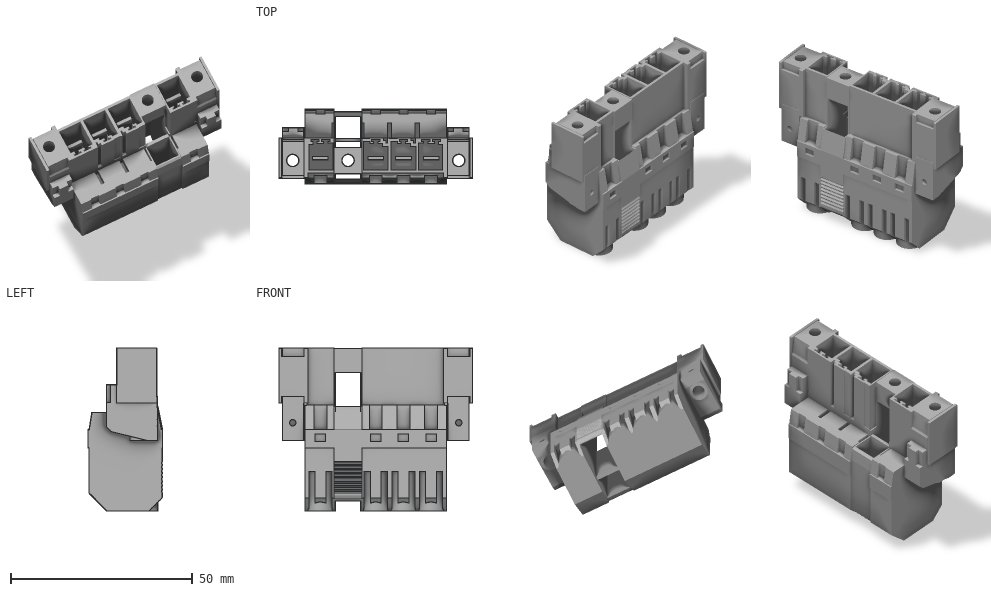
import cadquery as cq
TOTAL_WIDTH = 53.35
TOTAL_HEIGHT = 45.05
PITCH = 7.65
CELL_CENTRES = [-2 * PITCH, 0.0, PITCH, 2 * PITCH]
SCREW_MODULE_X = -PITCH
SCREW_HOLE_DIAMETER = 3.3

CARRIER_HALF_WIDTH = 19.0
CARRIER_FRONT = -3.4
CARRIER_BACK = 6.25
CAVITY_FRONT = -2.65
CAVITY_FLOOR = 29.9

KEY_NECK_WIDTH = 1.25
KEY_HEAD_WIDTH = 2.3
KEY_HEAD_FRONT = 5.2
KEY_HEAD_BACK = 5.7
END_KEY_OFFSET = 1.5
END_CELL_STEPS = [(-3.2, -1.5, 4.45), (-1.5, 1.5, 4.65), (1.5, 3.4, 4.8)]
INNER_CELL_STEPS = [(-3.4, -1.65, 5.2), (-1.65, 1.9, 4.65), (1.9, 3.4, 3.9)]
REAR_RELIEFS = [(-3.8, -1.75, 6.1), (2.1, 3.3, 5.5), (2.8, 3.3, 4.8)]

PLUG_HALF_WIDTH = 19.5
PLUG_FRONT = -6.25
PLUG_BACK = 13.85
BAND_FRONT = -6.45
BAND_BACK = 14.15
BAND_BOTTOM = 17.45
BAND_TOP = 22.5
PLUG_FRONT_TOP = 29.25
TAPER_FRONT_FOOT = -6.1
TAPER_FRONT_EDGE = -4.85
TAPER_BACK_FOOT = 13.8
TAPER_BACK_EDGE = 13.05
PLUG_BACK_TOP = 27.25
FRONT_CHAMFER = 3.6
BACK_CHAMFER = 4.95

FRONT_RECESS_WIDTH = 3.6
FRONT_RECESS_FLOOR = -4.1
BACK_RECESS_WIDTH = 2.5
BACK_RECESS_FLOOR = 12.8
WINDOW_WIDTH = 2.95
WINDOW_BOTTOM = 19.25
WINDOW_TOP = 21.35
WINDOW_DEPTH = 0.8
SHELF_GROOVE_WIDTH = 1.1
SHELF_GROOVE_BACK = 10.35
SHELF_GROOVE_DEPTH = 2.65

ENTRY_RADIUS = 3.8
ENTRY_FRONT = -5.2
ENTRY_HEIGHT = 11.0
ENTRY_SLOT_INNER = 1.5
ENTRY_SLOT_OUTER = 3.2

MODULE_WIDTH = PITCH
MODULE_BOTTOM = 2.8
MODULE_TOP = 28.9
MODULE_SLOT_WIDTH = 6.95
MODULE_SLOT_FRONT = -5.2
MODULE_SLOT_BACK = 12.1
MODULE_PANEL_BACK = 13.5
MODULE_PANEL_TAPER_START = 22.95
MODULE_PANEL_TOP = 26.95
MODULE_PANEL_TOP_BACK = 12.5
MODULE_PANEL_BEVEL = 0.4
MODULE_RIB_FRONT = 5.2
MODULE_RIB_BACK = 6.1
SCREW_BLOCK_TOP = 44.85
SCREW_BLOCK_BOTTOM = 38.2
SCREW_BLOCK_FRONT = -3.7
SCREW_BLOCK_BACK = 3.6

GRIP_COUNT = 8
GRIP_PITCH = 1.1
GRIP_TOP_GROOVE = 13.3
GRIP_GROOVE_DEPTH = 0.45
GRIP_EDGE_RADIUS = 1.05

SLEEVE_INNER_X = 18.6
SLEEVE_FRONT = -4.9
SLEEVE_BOTTOM = 29.8
SLEEVE_EDGE_CHAMFER = 0.15
POCKET_INNER_X = 19.85
POCKET_OUTER_X = 25.95
POCKET_FRONT = -4.1
TOP_NOTCH_BOTTOM = 42.7
FOOT_TOP = 31.6

FLANGE_HOLE_X = 22.9
FLANGE_OUTER_X = 25.75
FLANGE_TOP_BACK = 5.2
FLANGE_BEVEL_EDGE = 5.8
FLANGE_BEVEL_TOP = 39.7
FLANGE_BEVEL_BOTTOM = 39.05
FOOT_FRONT = -5.0
FOOT_BACK = 9.05
FOOT_BOTTOM = 19.4
FOOT_BACK_TOP = 34.9
FOOT_RAMP_START = (-2.45, FOOT_BOTTOM)
FOOT_RAMP_END = (7.7, 21.95)
FOOT_HEEL = 23.25
FLANGE_BOSS_RADIUS = 2.5
FLANGE_BOSS_TOP = 24.0
CORNER_WIDTH = 1.65
CORNER_DEPTH = 1.1
CORNER_BOTTOM = 29.95
SIDE_HOLE_DIAMETER = 1.75
SIDE_HOLE_Z = 24.4
SIDE_HOLE_DEPTH = 1.6

BLADE_WIDTH = 4.3
BLADE_FRONT = 0.15
BLADE_BACK = 1.05
BLADE_HEIGHT = 9.6
BLADE_CHAMFER = 0.15

MODULE_LEFT = SCREW_MODULE_X - MODULE_WIDTH / 2
MODULE_RIGHT = SCREW_MODULE_X + MODULE_WIDTH / 2
SLOT_LEFT = SCREW_MODULE_X - MODULE_SLOT_WIDTH / 2
SLOT_RIGHT = SCREW_MODULE_X + MODULE_SLOT_WIDTH / 2
CLEARANCE = 0.55


def block(x0, x1, y0, y1, z0, z1):
    """Axis-aligned box between two opposite corners."""
    return cq.Workplane("XY").box(x1 - x0, y1 - y0, z1 - z0, centered=False).translate((x0, y0, z0))


def side_prism(points, x0, x1):
    """Prism along X from an outline of (y, z) points."""
    return cq.Workplane("YZ").polyline(points).close().extrude(x1 - x0).translate((x0, 0, 0))


def upright_cylinder(x, y, radius, z0, z1):
    return cq.Workplane("XY").circle(radius).extrude(z1 - z0).translate((x, y, z0))


def plug_block():
    """Full-width lower part with chamfered bottom edges, a raised band and tapered upper edges."""
    outline = [
        (PLUG_FRONT + FRONT_CHAMFER, 0),
        (PLUG_BACK - BACK_CHAMFER, 0),
        (PLUG_BACK, BACK_CHAMFER),
        (PLUG_BACK, BAND_BOTTOM),
        (BAND_BACK, BAND_BOTTOM),
        (BAND_BACK, BAND_TOP),
        (TAPER_BACK_FOOT, BAND_TOP),
        (TAPER_BACK_EDGE, PLUG_BACK_TOP),
        (CARRIER_BACK, PLUG_BACK_TOP),
        (CARRIER_BACK, PLUG_FRONT_TOP),
        (TAPER_FRONT_EDGE, PLUG_FRONT_TOP),
        (TAPER_FRONT_FOOT, BAND_TOP),
        (BAND_FRONT, BAND_TOP),
        (BAND_FRONT, BAND_BOTTOM),
        (PLUG_FRONT, BAND_BOTTOM),
        (PLUG_FRONT, FRONT_CHAMFER),
    ]
    return side_prism(outline, -PLUG_HALF_WIDTH, PLUG_HALF_WIDTH)


def add_wire_entry(plug, x):
    """Round entry that shows below the front chamfer and through two slots in the front wall."""
    entry = upright_cylinder(x, ENTRY_FRONT + ENTRY_RADIUS, ENTRY_RADIUS, 0, ENTRY_HEIGHT)
    for inner, outer in [(-ENTRY_SLOT_OUTER, -ENTRY_SLOT_INNER), (ENTRY_SLOT_INNER, ENTRY_SLOT_OUTER)]:
        slot = block(x + inner, x + outer, BAND_FRONT, ENTRY_FRONT + ENTRY_RADIUS, 0, ENTRY_HEIGHT)
        plug = plug.cut(slot.cut(entry))
    return plug.union(entry)


def cut_plug_recesses(plug, x):
    """Front and back recesses in the tapered edges, and a small window in the band."""
    half = FRONT_RECESS_WIDTH / 2
    plug = plug.cut(block(x - half, x + half, BAND_FRONT, FRONT_RECESS_FLOOR, BAND_TOP, PLUG_FRONT_TOP))
    half = BACK_RECESS_WIDTH / 2
    plug = plug.cut(block(x - half, x + half, BACK_RECESS_FLOOR, BAND_BACK, BAND_TOP, PLUG_BACK_TOP))
    half = WINDOW_WIDTH / 2
    window_back = BAND_FRONT + WINDOW_DEPTH
    return plug.cut(block(x - half, x + half, BAND_FRONT, window_back, WINDOW_BOTTOM, WINDOW_TOP))


def cut_shelf_grooves(plug):
    """Grooves in the rear shelf at each division between cells; those beside the module are half wide."""
    half = SHELF_GROOVE_WIDTH / 2
    spans = [
        (MODULE_LEFT - half, MODULE_LEFT),
        (MODULE_RIGHT, MODULE_RIGHT + half),
        (0.5 * PITCH - half, 0.5 * PITCH + half),
        (1.5 * PITCH - half, 1.5 * PITCH + half),
    ]
    floor = PLUG_BACK_TOP - SHELF_GROOVE_DEPTH
    for x0, x1 in spans:
        plug = plug.cut(block(x0, x1, CARRIER_BACK, SHELF_GROOVE_BACK, floor, PLUG_BACK_TOP))
    return plug


def module_shell():
    """Lower half of the screw module: front grip panel, back panel and side walls."""
    front_chamfer_z = PLUG_FRONT + FRONT_CHAMFER - BAND_FRONT
    outline = [
        (BAND_FRONT + front_chamfer_z - MODULE_BOTTOM, MODULE_BOTTOM),
        (BAND_FRONT, front_chamfer_z),
        (BAND_FRONT, BAND_TOP),
        (MODULE_SLOT_FRONT, MODULE_TOP),
        (MODULE_RIB_BACK, MODULE_TOP),
        (MODULE_RIB_BACK, MODULE_PANEL_TOP),
        (MODULE_PANEL_TOP_BACK, MODULE_PANEL_TOP),
        (TAPER_BACK_EDGE, MODULE_PANEL_TOP - MODULE_PANEL_BEVEL),
        (MODULE_PANEL_BACK, MODULE_PANEL_TAPER_START),
        (MODULE_PANEL_BACK, BACK_CHAMFER),
        (PLUG_BACK - BACK_CHAMFER + MODULE_BOTTOM, MODULE_BOTTOM),
    ]
    shell = side_prism(outline, MODULE_LEFT, MODULE_RIGHT)
    grip_edge = cq.selectors.NearestToPointSelector((SCREW_MODULE_X, BAND_FRONT, front_chamfer_z))
    shell = shell.edges(grip_edge).fillet(GRIP_EDGE_RADIUS)
    for index in range(GRIP_COUNT):
        z = GRIP_TOP_GROOVE - index * GRIP_PITCH
        groove = [
            (BAND_FRONT, z - GRIP_GROOVE_DEPTH),
            (BAND_FRONT + GRIP_GROOVE_DEPTH, z),
            (BAND_FRONT, z + GRIP_GROOVE_DEPTH),
        ]
        shell = shell.cut(side_prism(groove, MODULE_LEFT, MODULE_RIGHT))
    return shell


def right_sleeve():
    """Solid end block around a flange insert, before its pocket is cut."""
    sleeve = block(
        SLEEVE_INNER_X, TOTAL_WIDTH / 2, SLEEVE_FRONT, CARRIER_BACK, SLEEVE_BOTTOM, TOTAL_HEIGHT
    )
    return sleeve.faces("<Y").edges(">Z").chamfer(SLEEVE_EDGE_CHAMFER)


def carrier_block():
    """Upper block with the end sleeves; the screw block replaces it between the first two cells."""
    carrier = block(
        -CARRIER_HALF_WIDTH, CARRIER_HALF_WIDTH, CARRIER_FRONT, CARRIER_BACK, MODULE_TOP, TOTAL_HEIGHT
    )
    carrier = carrier.cut(
        block(MODULE_LEFT, MODULE_RIGHT, CARRIER_FRONT, CARRIER_BACK, MODULE_TOP, TOTAL_HEIGHT)
    )
    carrier = carrier.union(
        block(MODULE_LEFT, MODULE_RIGHT, SCREW_BLOCK_FRONT, SCREW_BLOCK_BACK, MODULE_TOP, SCREW_BLOCK_TOP)
    )
    sleeve = right_sleeve()
    pocket = sleeve_pocket()
    carrier = carrier.union(sleeve).union(sleeve.mirror("YZ"))
    return carrier.cut(pocket).cut(pocket.mirror("YZ"))


def sleeve_pocket():
    """Pocket open at the top, bottom and back, with an upper and a lower notch in its front wall."""
    pocket = block(
        POCKET_INNER_X, POCKET_OUTER_X, POCKET_FRONT, CARRIER_BACK, SLEEVE_BOTTOM, TOTAL_HEIGHT
    )
    for z0, z1 in [(SLEEVE_BOTTOM, FOOT_TOP), (TOP_NOTCH_BOTTOM, TOTAL_HEIGHT)]:
        pocket = pocket.union(block(POCKET_INNER_X, POCKET_OUTER_X, SLEEVE_FRONT, POCKET_FRONT, z0, z1))
    return pocket


def cavity(steps, key_centres):
    """Contact cavity centred on X = 0: a stepped back wall with T-shaped keyways."""
    neck_front = (CAVITY_FRONT + KEY_HEAD_FRONT) / 2
    hollow = None
    for left, right, back in steps:
        part = block(left, right, CAVITY_FRONT, back, CAVITY_FLOOR, TOTAL_HEIGHT)
        hollow = part if hollow is None else hollow.union(part)
    for x in key_centres:
        for width, y0, y1 in [
            (KEY_NECK_WIDTH, neck_front, KEY_HEAD_FRONT),
            (KEY_HEAD_WIDTH, KEY_HEAD_FRONT, KEY_HEAD_BACK),
        ]:
            hollow = hollow.union(block(x - width / 2, x + width / 2, y0, y1, CAVITY_FLOOR, TOTAL_HEIGHT))
    return hollow


def cut_cavities(carrier):
    """The two end cells mirror each other; the two inner cells are alike, with reliefs behind them."""
    end_cavity = cavity(END_CELL_STEPS, [-END_KEY_OFFSET, END_KEY_OFFSET])
    inner_cavity = cavity(INNER_CELL_STEPS, [0.0])
    carrier = carrier.cut(end_cavity.translate((CELL_CENTRES[0], 0, 0)))
    carrier = carrier.cut(end_cavity.mirror("YZ").translate((CELL_CENTRES[-1], 0, 0)))
    for x in CELL_CENTRES[1:-1]:
        carrier = carrier.cut(inner_cavity.translate((x, 0, 0)))
        for left, right, front in REAR_RELIEFS:
            carrier = carrier.cut(
                block(x + left, x + right, front, CARRIER_BACK, PLUG_FRONT_TOP, TOTAL_HEIGHT)
            )
    return carrier


def cut_module_openings(housing):
    """Upright shaft below the screw block, leaving one cross rib, a see-through opening and the hole."""
    shaft = block(SLOT_LEFT, SLOT_RIGHT, MODULE_SLOT_FRONT, MODULE_SLOT_BACK, 0, SCREW_BLOCK_BOTTOM)
    rib = block(
        SLOT_LEFT, SLOT_RIGHT, MODULE_RIB_FRONT, MODULE_RIB_BACK, MODULE_BOTTOM, PLUG_BACK_TOP
    )
    hole = upright_cylinder(
        SCREW_MODULE_X, 0, SCREW_HOLE_DIAMETER / 2, SCREW_BLOCK_BOTTOM - CLEARANCE, TOTAL_HEIGHT
    )
    return housing.cut(shaft.cut(rib)).cut(hole)


def make_housing():
    plug = plug_block()
    for x in CELL_CENTRES:
        plug = add_wire_entry(plug, x)
        plug = cut_plug_recesses(plug, x)
    plug = cut_shelf_grooves(plug)
    plug = plug.cut(
        block(MODULE_LEFT, MODULE_RIGHT, BAND_FRONT, BAND_BACK, MODULE_BOTTOM, PLUG_FRONT_TOP)
    )
    plug = plug.cut(block(SLOT_LEFT, SLOT_RIGHT, BAND_FRONT, BAND_BACK, 0, MODULE_BOTTOM))
    carrier = cut_cavities(carrier_block())
    return cut_module_openings(plug.union(module_shell()).union(carrier))


def make_flange_insert(side):
    """Insert with a screw hole; side is -1 for the left end and +1 for the right end."""
    outline = [
        (FOOT_FRONT, FOOT_BOTTOM),
        FOOT_RAMP_START,
        FOOT_RAMP_END,
        (FOOT_BACK, FOOT_HEEL),
        (FOOT_BACK, FOOT_BACK_TOP),
        (CARRIER_BACK, FOOT_BACK_TOP),
        (CARRIER_BACK, FLANGE_BEVEL_BOTTOM),
        (FLANGE_BEVEL_EDGE, FLANGE_BEVEL_TOP),
        (FLANGE_TOP_BACK, TOTAL_HEIGHT),
        (POCKET_FRONT, TOTAL_HEIGHT),
        (POCKET_FRONT, FOOT_TOP),
        (FOOT_FRONT, FOOT_TOP),
    ]
    insert = side_prism(outline, POCKET_INNER_X, FLANGE_OUTER_X)
    boss = upright_cylinder(FLANGE_HOLE_X, 0, FLANGE_BOSS_RADIUS, FOOT_BOTTOM, FLANGE_BOSS_TOP)
    hole = upright_cylinder(FLANGE_HOLE_X, 0, SCREW_HOLE_DIAMETER / 2, FOOT_BOTTOM, TOTAL_HEIGHT)
    insert = insert.union(boss).cut(hole)
    for x in (POCKET_INNER_X, FLANGE_OUTER_X - CORNER_WIDTH):
        corner_front = FOOT_BACK - CORNER_DEPTH
        insert = insert.cut(
            block(x, x + CORNER_WIDTH, corner_front, FOOT_BACK, CORNER_BOTTOM, FOOT_BACK_TOP)
        )
    side_hole = (
        cq.Workplane("XZ", origin=(FLANGE_HOLE_X, FOOT_FRONT, SIDE_HOLE_Z))
        .circle(SIDE_HOLE_DIAMETER / 2)
        .extrude(-SIDE_HOLE_DEPTH)
    )
    insert = insert.cut(side_hole)
    return insert if side > 0 else insert.mirror("YZ")


def make_contact_blade(x):
    """Flat blade that stands on the floor of its cavity, with its upper front edge chamfered."""
    half = BLADE_WIDTH / 2
    blade_top = CAVITY_FLOOR + BLADE_HEIGHT
    blade = block(x - half, x + half, BLADE_FRONT, BLADE_BACK, CAVITY_FLOOR, blade_top)
    return blade.faces("<Y").edges(">Z").chamfer(BLADE_CHAMFER)


housing = make_housing()
flange_inserts = [make_flange_insert(side) for side in (-1, 1)]
contact_blades = [make_contact_blade(x) for x in CELL_CENTRES]

result = cq.Compound.makeCompound(
    [
        housing.val(),
        *[insert.val() for insert in flange_inserts],
        *[blade.val() for blade in contact_blades],
    ]
)